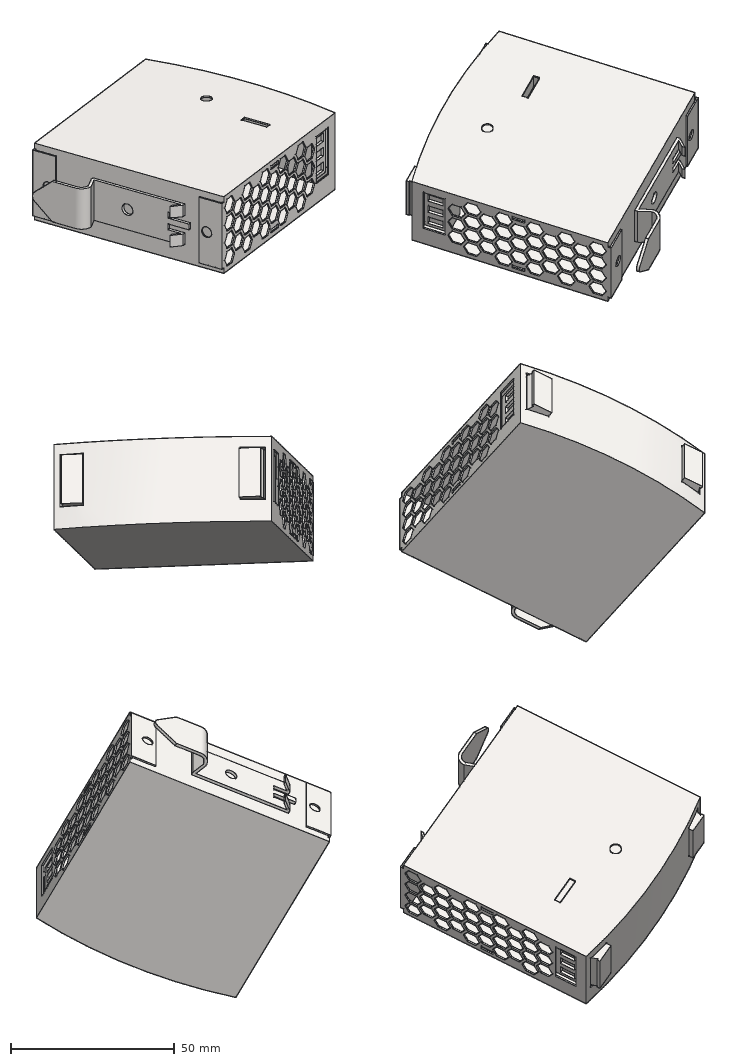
import cadquery as cq
import math


width = 68.0
height = 26.5
overall_depth = 77.15
crown_depth = 68.6
bow_radius = 169.75
sheet = 0.5
half_width = width / 2
bow_center_y = crown_depth - bow_radius

hex_pitch = 6.0
hex_flats = 5.0
hex_columns = 10
hex_column_pitch = hex_pitch * math.cos(math.radians(30))
hex_first_y = 3.4
long_column_rows = 4
short_column_rows = 3

vent_slot_y = 29.8
vent_slot_z = 10.95
vent_slot_length = 4.2
vent_slot_height = 1.2

top_hole_x = -4.5
top_hole_y = 52.6
top_hole_diameter = 3.55
top_slot_x = 16.5
top_slot_y = 47.15
top_slot_length = 9.2
top_slot_width = 2.0

tab_length = 8.3
tab_height = 22.7
tab_gap = 0.6
tab_hole_x = 28.5
tab_hole_diameter = 3.55
tab_back_y = -(tab_gap + sheet)

clip_sheet = 1.0
clip_width = 14.0
clip_reach = overall_depth - crown_depth
clip_left_x = -13.05
clip_right_x = 20.0
clip_hole_diameter = 3.85
bend_radius = 3.5
bend_x = -14.0
bend_inner_radius = bend_radius - clip_sheet
bend_y = bend_radius - clip_reach
neck_root_x = -11.95
arm_tip_x = -29.5
arm_shoulder_x = -22.3
arm_tip_radius = 2.0
lip_run = 2.9
lip_end = 1.0
tongue_tip_x = 22.1
tongue_width = 2.0
tongue_slot_x = 14.5
tongue_slot_width = 6.0

window_height = 16.2
window_z = 1.8
window_outer_x = 32.0
window_front_y = 61.4
window_rear_y = 54.2

terminal_height = 15.2
terminal_z = 1.7
terminal_inner_x = 24.45
terminal_front_y = 68.3
terminal_lip_x = 31.1
terminal_lip_y = 67.3
terminal_throat_x = 30.6
terminal_flare_x = 31.5
terminal_flare_y = 65.1
terminal_recess = 1.15
terminal_rear_y = 53.25
terminal_outer_x = half_width - terminal_recess
wire_port_y = (window_front_y + window_rear_y) / 2
wire_port_count = 3
wire_port_pitch = 5.0
wire_port_length = 4.85
wire_port_height = 2.9
wire_port_depth = 0.9


def block(x_range, y_range, z_size, z_mid=0):
    """Box between two X values and two Y values, centred on z_mid."""
    x_start, x_end = x_range
    y_start, y_end = y_range
    return cq.Workplane("XY").box(x_end - x_start, y_end - y_start, z_size).translate(
        ((x_start + x_end) / 2, (y_start + y_end) / 2, z_mid)
    )


def both_sides(shape):
    """A shape together with its mirror image across X = 0."""
    return shape.union(shape.mirror("YZ"))


def bowed_block(inset):
    """Housing envelope, moved inwards by inset on every face."""
    x = half_width - inset
    radius = bow_radius - inset
    side_y = bow_center_y + math.sqrt(radius**2 - x**2)
    return (
        cq.Workplane("XY")
        .workplane(offset=inset - height / 2)
        .moveTo(-x, inset)
        .lineTo(x, inset)
        .lineTo(x, side_y)
        .threePointArc((0, crown_depth - inset), (-x, side_y))
        .close()
        .extrude(height - 2 * inset)
    )


def vent_points():
    """Y and Z of each hexagon; columns of four and three alternate."""
    points = []
    for column in range(hex_columns):
        rows = short_column_rows if column % 2 else long_column_rows
        y = hex_first_y + column * hex_column_pitch
        points += [(y, (row - (rows - 1) / 2) * hex_pitch) for row in range(rows)]
    return points


def side_vents():
    """Hexagons and slots running through both side walls."""
    hex_corner_diameter = hex_flats / math.cos(math.radians(30))
    hexagons = (
        cq.Workplane("YZ")
        .pushPoints(vent_points())
        .polygon(6, hex_corner_diameter)
        .extrude(half_width, both=True)
    )
    slots = (
        cq.Workplane("YZ")
        .pushPoints([(vent_slot_y, -vent_slot_z), (vent_slot_y, vent_slot_z)])
        .rect(vent_slot_length, vent_slot_height)
        .extrude(half_width, both=True)
    )
    return hexagons.union(slots)


def top_openings():
    """Round hole and slot in the top wall."""
    wall = cq.Workplane("XY").workplane(offset=height / 2 - sheet)
    hole = wall.center(top_hole_x, top_hole_y).circle(top_hole_diameter / 2).extrude(sheet)
    slot = wall.center(top_slot_x, top_slot_y).rect(top_slot_length, top_slot_width).extrude(sheet)
    return hole.union(slot)


def terminal_windows():
    """Openings in the bowed wall and the side walls for the terminal blocks."""
    front = block(
        (terminal_inner_x, window_outer_x),
        (window_front_y, crown_depth),
        window_height,
        window_z,
    )
    side = block(
        (half_width - sheet, half_width),
        (window_rear_y, window_front_y),
        window_height,
        window_z,
    )
    return both_sides(front.union(side))


def mounting_tabs():
    """Side wall extensions folded inwards, with a gap to the mounting face."""
    web = block((half_width - sheet, half_width), (tab_back_y, sheet), tab_height)
    flange = block((half_width - tab_length, half_width), (tab_back_y, -tab_gap), tab_height)
    hole = (
        cq.Workplane("XZ")
        .center(tab_hole_x, 0)
        .circle(tab_hole_diameter / 2)
        .extrude(-tab_back_y)
    )
    return both_sides(web.union(flange).cut(hole))


def clip_strip():
    """Bent strip of the clip: base plate, neck, round bend, arm and lip."""
    diagonal = math.sqrt(0.5)
    lip_y = -clip_sheet - lip_run
    arm_y = bend_y - bend_inner_radius
    return (
        cq.Workplane("XY")
        .workplane(offset=-clip_width / 2)
        .moveTo(clip_left_x, 0)
        .lineTo(clip_right_x, 0)
        .lineTo(clip_right_x, -clip_sheet)
        .lineTo(clip_right_x - lip_run, lip_y)
        .lineTo(clip_right_x - lip_run, lip_y + lip_end)
        .lineTo(clip_right_x - lip_end, -clip_sheet)
        .lineTo(neck_root_x, -clip_sheet)
        .lineTo(bend_x + bend_radius, bend_y)
        .threePointArc(
            (bend_x + bend_radius * diagonal, bend_y - bend_radius * diagonal),
            (bend_x, -clip_reach),
        )
        .lineTo(arm_tip_x, -clip_reach)
        .lineTo(arm_tip_x, arm_y)
        .lineTo(bend_x, arm_y)
        .threePointArc(
            (bend_x + bend_inner_radius * diagonal, bend_y - bend_inner_radius * diagonal),
            (bend_x + bend_inner_radius, bend_y),
        )
        .lineTo(clip_left_x, -clip_sheet)
        .close()
        .extrude(clip_width)
    )


def clip_outline():
    """Flat outline of the clip with its tapered, rounded arm tip, as a block along Y."""
    tip_center_x = arm_tip_x + arm_tip_radius
    shoulder_run = arm_shoulder_x - tip_center_x
    shoulder_z = clip_width / 2
    touch_angle = math.atan2(shoulder_z, shoulder_run) + math.acos(
        arm_tip_radius / math.hypot(shoulder_run, shoulder_z)
    )
    touch_x = tip_center_x + arm_tip_radius * math.cos(touch_angle)
    touch_z = arm_tip_radius * math.sin(touch_angle)
    return (
        cq.Workplane("XZ")
        .moveTo(clip_right_x, -shoulder_z)
        .lineTo(clip_right_x, shoulder_z)
        .lineTo(arm_shoulder_x, shoulder_z)
        .lineTo(touch_x, touch_z)
        .threePointArc((arm_tip_x, 0), (touch_x, -touch_z))
        .lineTo(arm_shoulder_x, -shoulder_z)
        .close()
        .extrude(clip_reach)
    )


def spring_clip():
    """Clip with its hole, the tongue slots and the tongue between the lips."""
    slots = block((tongue_slot_x, clip_right_x), (-clip_reach, 0), tongue_slot_width)
    tongue = block((tongue_slot_x, tongue_tip_x), (-clip_sheet, 0), tongue_width)
    hole = cq.Workplane("XZ").circle(clip_hole_diameter / 2).extrude(clip_sheet)
    return clip_strip().intersect(clip_outline()).cut(slots).union(tongue).cut(hole)


def make_housing():
    """Hollow shell with vents, terminal windows, mounting tabs and the fixed clip."""
    shell = bowed_block(0).cut(bowed_block(sheet))
    back_wall = block((sheet - half_width, half_width - sheet), (0, sheet), height)
    vented = shell.cut(side_vents()).cut(top_openings()).cut(terminal_windows())
    return vented.union(back_wall).union(mounting_tabs()).union(spring_clip())


def make_terminal():
    """Terminal block at +X, with its wire ports in the outer face."""
    body = (
        cq.Workplane("XY")
        .workplane(offset=terminal_z - terminal_height / 2)
        .moveTo(terminal_inner_x, terminal_front_y)
        .lineTo(terminal_lip_x, terminal_front_y)
        .lineTo(terminal_lip_x, terminal_lip_y)
        .lineTo(terminal_throat_x, terminal_lip_y)
        .lineTo(terminal_flare_x, terminal_flare_y)
        .lineTo(terminal_flare_x, window_front_y)
        .lineTo(terminal_outer_x, window_front_y)
        .lineTo(terminal_outer_x, terminal_rear_y)
        .lineTo(terminal_inner_x, terminal_rear_y)
        .close()
        .extrude(terminal_height)
    )
    ports = (
        cq.Workplane("YZ")
        .workplane(offset=terminal_outer_x - wire_port_depth)
        .center(wire_port_y, terminal_z)
        .rarray(0.8, wire_port_pitch, 1, wire_port_count)
        .rect(wire_port_length, wire_port_height)
        .extrude(wire_port_depth)
    )
    return body.cut(ports)


housing = make_housing()
right_terminal = make_terminal()
left_terminal = right_terminal.mirror("YZ")
terminals = [terminal.solids().val() for terminal in (right_terminal, left_terminal)]

result = cq.Compound.makeCompound([housing.solids().val(), *terminals])